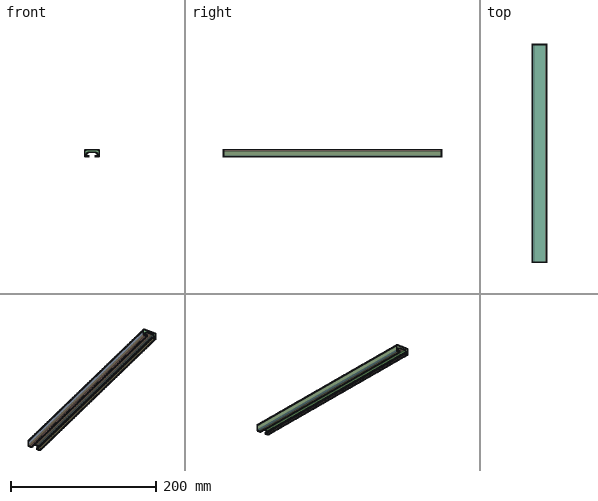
import cadquery as cq

WIDTH = 20.0
LENGTH = 300.0
HEIGHT = 10.0

ROOF_THICKNESS = 3.5
WALL_THICKNESS = 2.5
LIP_THICKNESS = 1.8
SLOT_WIDTH = 8.5
OUTER_RADIUS = 1.8
CHANNEL_RADIUS = 4.0

CHANNEL_WIDTH = WIDTH - 2 * WALL_THICKNESS
CHANNEL_HEIGHT = HEIGHT - ROOF_THICKNESS - LIP_THICKNESS


def long_bar(width, height, bottom):
    """Full-length bar centred on X and Y, with its underside at the given height."""
    return (
        cq.Workplane("XY")
        .box(width, LENGTH, height, centered=(True, True, False))
        .translate((0, 0, bottom))
    )


body = long_bar(WIDTH, HEIGHT, 0).edges("|Y").fillet(OUTER_RADIUS)

channel = long_bar(CHANNEL_WIDTH, CHANNEL_HEIGHT, LIP_THICKNESS)
channel = channel.faces(">Z").edges("|Y").fillet(CHANNEL_RADIUS)

slot = long_bar(SLOT_WIDTH, LIP_THICKNESS, 0)

result = body.cut(channel).cut(slot)